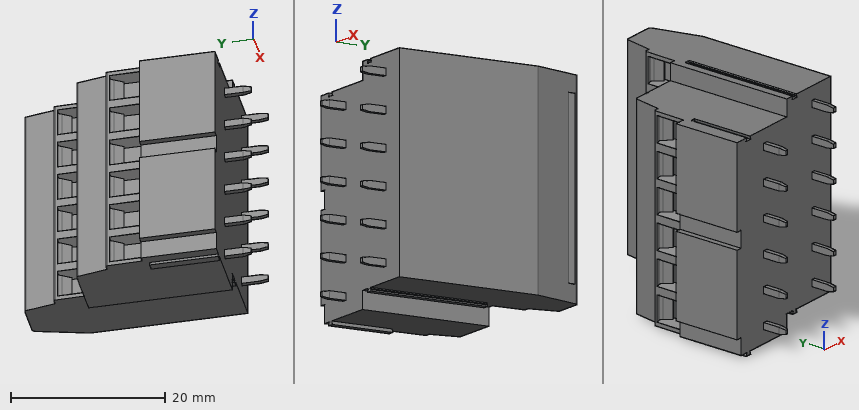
import cadquery as cq
import math


overall_height = 33.52
width = 19.85
pole_count = 6
rib_height = 0.5
pitch = (overall_height - rib_height) / (pole_count + 0.5)
stagger = pitch / 2
tier_length = pole_count * pitch

ledge_y = 10.02
tier_rise = 9.1
entry_x = 1.55
entry_lean = 0.1
step_y = 14.88
step_width = 0.8
slope_run = 0.77
tier_offset = 9.82
divider_x = 10.53
crest_x = 17.83
back_slope_y = 20.95
step_round = 0.27
crest_round = 0.27
back_round = 0.5

notch_depth = 0.85
notch_levels = (0, 3 * pitch)

pocket_mouth = 3.9
pocket_floor = 2.8
pocket_top_y = 14.38
pocket_wall_x = 2.0
ramp_x = 2.35
ramp_y = 13.95
sill_x = 2.85
sill_y = 12.75
floor_x = 3.12

pin_x = 5.95
pin_length = 3.52
pin_straight = 2.48
pin_height = 1.0
pin_tip_height = 0.65
front_pin_width = 0.67
front_pin_tip_width = 0.4
rear_pin_width = 0.57

front_rib_x = 2.4
rear_rib_x = 12.2
front_rib_length = 9.12
rear_rib_length = 17.63
dovetail_neck = 0.65
dovetail_tip = 0.97
bead_mouth = 0.8
bead_neck = 0.55
bead_tip = 0.87
bead_neck_height = 0.15
bead_tip_height = 0.3

bar_low_y = 26.48
bar_high_y = 27.45
bar_thickness = 0.25


def tier(profile, level):
    """Extrude an XY outline over the length of one tier."""
    return cq.Workplane("XY", origin=(0, 0, level)).polyline(profile).close().extrude(tier_length)


def round_edge(body, x, y, radius):
    """Round the vertical edge nearest to an XY position."""
    nearest = cq.selectors.NearestToPointSelector((x, y, body.val().Center().z))
    edge = body.edges("|Z").edges(nearest)
    return body.newObject([body.val().fillet(radius, edge.vals())])


def stepped_flank(shift_x, shift_y):
    """Points of an entry face, its step and the slope above, from the shelf to the crest."""
    step_x = entry_x + entry_lean
    slope_x = step_x + step_width
    crest_y = ledge_y + tier_rise
    points = [
        (entry_x, ledge_y),
        (step_x, step_y),
        (slope_x, step_y),
        (slope_x + slope_run, crest_y),
    ]
    return [(x + shift_x, y + shift_y) for x, y in points]


def front_tier():
    flank = stepped_flank(0, 0)
    crest_y = flank[-1][1]
    body = tier([(0, 0), (0, ledge_y)] + flank + [(divider_x, crest_y), (divider_x, 0)], 0)
    body = round_edge(body, *flank[1], step_round)
    body = round_edge(body, *flank[-1], crest_round)
    for level in notch_levels:
        notch = cq.Workplane("XY").box(notch_depth, ledge_y, stagger, centered=False)
        body = body.cut(notch.translate((0, 0, level)))
    return body


def rear_tier():
    flank = stepped_flank(tier_offset, tier_rise)
    shelf_y = flank[0][1]
    crest = (crest_x, flank[-1][1])
    back = [crest, (width, back_slope_y), (width, 0)]
    body = tier([(divider_x, 0), (divider_x, shelf_y)] + flank + back, stagger)
    body = round_edge(body, *flank[1], step_round)
    body = round_edge(body, *flank[-1], crest_round)
    return round_edge(body, *crest, back_round)


def wire_pocket():
    """Cutter for one front wire entry, centred on Z = 0."""
    bend_angle = math.atan2(ramp_y - sill_y, sill_x - ramp_x)
    ramp_tangent = (math.cos(bend_angle), -math.sin(bend_angle))
    profile = (
        cq.Workplane("XY", origin=(0, 0, -pocket_mouth))
        .moveTo(0, ledge_y)
        .lineTo(0, pocket_top_y)
        .lineTo(pocket_wall_x, pocket_top_y)
        .spline([(ramp_x, ramp_y)], tangents=[(1, 0), ramp_tangent], includeCurrent=True)
        .lineTo(sill_x, sill_y)
        .lineTo(floor_x, sill_y)
        .lineTo(floor_x, ledge_y)
        .close()
        .extrude(2 * pocket_mouth)
    )
    taper_wedge = (
        cq.Workplane("XZ")
        .polyline([
            (0, -pocket_mouth / 2),
            (0, pocket_mouth / 2),
            (entry_x + entry_lean, pocket_mouth / 2),
            (floor_x, pocket_floor / 2),
            (floor_x, -pocket_floor / 2),
            (entry_x + entry_lean, -pocket_mouth / 2),
        ])
        .close()
        .extrude(-pocket_top_y)
    )
    return profile.intersect(taper_wedge)


def pin(pin_width, tip_width):
    """One pin along -Y with a tapered tip, starting at the pin face."""
    shank = cq.Workplane("XZ").rect(pin_width, pin_height).extrude(pin_straight)
    return (
        shank.faces("<Y")
        .workplane()
        .rect(pin_width, pin_height)
        .workplane(offset=pin_length - pin_straight)
        .rect(tip_width, pin_tip_height)
        .loft(combine=True)
    )


def joining_rib(half_profile, x, level, length):
    """Rib hanging below a level; half_profile lists (half width, depth) from the root down."""
    right_side = [(half, -depth) for half, depth in half_profile]
    left_side = [(-half, z) for half, z in reversed(right_side)]
    rib = cq.Workplane("XZ").polyline(right_side + left_side).close().extrude(-length)
    return rib.translate((x, 0, level))


def back_bar():
    """Thin bar lying along the back slope, between the first and last rear pole centres."""
    crest_y = ledge_y + 2 * tier_rise
    slope = (width - crest_x) / (crest_y - back_slope_y)
    low_x = width - slope * (bar_low_y - back_slope_y)
    high_x = width - slope * (bar_high_y - back_slope_y)
    outline = [
        (low_x - bar_thickness, bar_low_y),
        (low_x, bar_low_y),
        (high_x + bar_thickness, bar_high_y),
        (high_x - bar_thickness, bar_high_y),
    ]
    start = cq.Workplane("XY", origin=(0, 0, stagger + pitch / 2))
    return start.polyline(outline).close().extrude(tier_length - pitch)


result = front_tier().union(rear_tier()).union(back_bar())

front_pocket = wire_pocket()
front_pin = pin(front_pin_width, front_pin_tip_width)
rear_pin = pin(rear_pin_width, rear_pin_width)
for pole in range(pole_count):
    front_z = (pole + 0.5) * pitch
    rear_z = front_z + stagger
    result = result.cut(front_pocket.translate((0, 0, front_z)))
    result = result.cut(front_pocket.translate((tier_offset, tier_rise, rear_z)))
    result = result.union(front_pin.translate((pin_x, 0, front_z)))
    result = result.union(rear_pin.translate((pin_x + 2 * pitch, 0, rear_z)))

dovetail = [(dovetail_neck / 2, 0), (dovetail_tip / 2, rib_height)]
bead = [
    (bead_mouth / 2, 0),
    (bead_neck / 2, bead_neck_height),
    (bead_tip / 2, bead_tip_height),
    (bead_tip / 2, rib_height),
]
for half_profile, rib_x, base, rib_length in (
    (dovetail, front_rib_x, 0, front_rib_length),
    (bead, rear_rib_x, stagger, rear_rib_length),
):
    result = result.union(joining_rib(half_profile, rib_x, base, rib_length))
    result = result.cut(joining_rib(half_profile, rib_x, base + tier_length, rib_length))